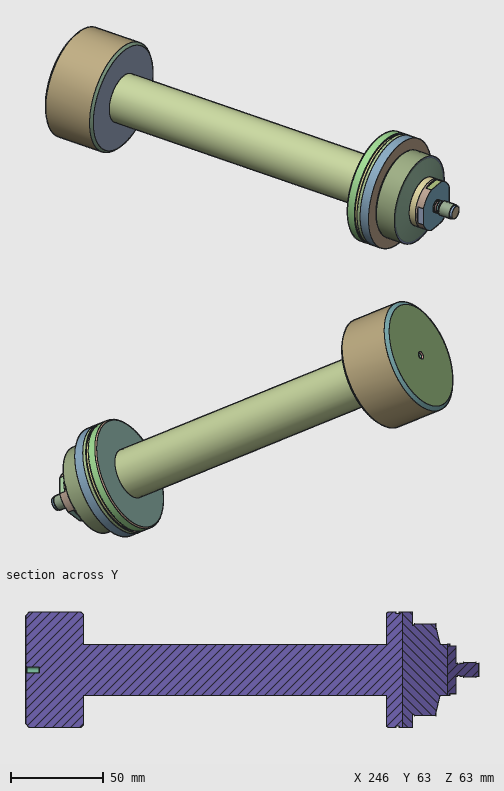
import cadquery as cq

LENGTH = 246.0

HEAD_DIAMETER = 63.0
HEAD_LENGTH = 31.5
HEAD_FRONT_EDGE_LENGTH = 1.7
HEAD_FRONT_EDGE_DEPTH = 2.2
HEAD_BACK_EDGE = 1.5
TUBE_RADIUS = 14.0
FLANGE_RADIUS = HEAD_DIAMETER / 2
FLANGE_START = 195.8
FLANGE_EDGE = 0.7
GROOVE_START = 201.0
GROOVE_END = 202.7
GROOVE_RADIUS = 30.8
FLANGE_JOINT = 204.7

HOLE_DIAMETER = 3.0
HOLE_DEPTH = 7.5
COUNTERSINK_DIAMETER = 4.5
COUNTERSINK_ANGLE = 90.0

REAR_FLANGE_END = 210.0
KNOB_RADIUS = 25.0
KNOB_EDGE = 1.0
KNOB_END = 222.6
CONE_START_RADIUS = 24.0
CONE_END = 225.0
NECK_END = 229.0

COLLAR_RADIUS = TUBE_RADIUS
COLLAR_END = 233.7
FLATS_START = 230.3
FLATS_WIDTH = 26.0
PLUG_SHOULDER_RADIUS = 3.7
PLUG_SHOULDER_END = 234.5
PLUG_WAIST_RADIUS = 3.2
PLUG_WAIST_END = 235.7
PLUG_RING_END = 237.0
PLUG_GROOVE_RADIUS = 3.5
PLUG_GROOVE_END = 237.6
PLUG_BARREL_RADIUS = 4.2
PLUG_BARREL_END = 244.5


def cylinder(start, end, radius):
    """Round section along X."""
    return cq.Workplane("YZ", origin=(start, 0, 0)).circle(radius).extrude(end - start)


def frustum(start, end, start_radius, end_radius):
    """Tapered round section along X."""
    return (
        cq.Workplane("XY")
        .moveTo(start, 0)
        .lineTo(start, start_radius)
        .lineTo(end, end_radius)
        .lineTo(end, 0)
        .close()
        .revolve(360, (0, 0, 0), (1, 0, 0))
    )


def make_handle():
    head_radius = HEAD_DIAMETER / 2
    head = cylinder(HEAD_FRONT_EDGE_LENGTH, HEAD_LENGTH, head_radius)
    front = frustum(0, HEAD_FRONT_EDGE_LENGTH, head_radius - HEAD_FRONT_EDGE_DEPTH, head_radius)
    head = head.union(front)
    head = head.faces(">X").edges().chamfer(HEAD_BACK_EDGE)
    head = head.faces("<X").workplane().cskHole(
        HOLE_DIAMETER, COUNTERSINK_DIAMETER, COUNTERSINK_ANGLE, depth=HOLE_DEPTH
    )
    flange = cylinder(FLANGE_START, GROOVE_START, FLANGE_RADIUS)
    flange = flange.faces("<X").edges().chamfer(FLANGE_EDGE)
    tube = cylinder(HEAD_LENGTH, FLANGE_START, TUBE_RADIUS)
    groove_floor = cylinder(GROOVE_START, GROOVE_END, GROOVE_RADIUS)
    rim = cylinder(GROOVE_END, FLANGE_JOINT, FLANGE_RADIUS)
    return head.union(tube).union(flange).union(groove_floor).union(rim)


def make_cap():
    flange = cylinder(FLANGE_JOINT, REAR_FLANGE_END, FLANGE_RADIUS)
    knob = cylinder(REAR_FLANGE_END, KNOB_END, KNOB_RADIUS)
    knob = knob.faces("<X").edges().chamfer(KNOB_EDGE)
    return (
        flange.union(knob)
        .union(frustum(KNOB_END, CONE_END, CONE_START_RADIUS, TUBE_RADIUS))
        .union(cylinder(CONE_END, NECK_END, TUBE_RADIUS))
    )


def make_connector():
    square = (
        cq.Workplane("YZ", origin=(FLATS_START, 0, 0))
        .rect(FLATS_WIDTH, FLATS_WIDTH)
        .extrude(COLLAR_END - FLATS_START)
    )
    flats = cylinder(FLATS_START, COLLAR_END, COLLAR_RADIUS).intersect(square)
    connector = cylinder(NECK_END, FLATS_START, COLLAR_RADIUS).union(flats)
    plug_steps = [
        (PLUG_SHOULDER_END, PLUG_SHOULDER_RADIUS),
        (PLUG_WAIST_END, PLUG_WAIST_RADIUS),
        (PLUG_RING_END, PLUG_SHOULDER_RADIUS),
        (PLUG_GROOVE_END, PLUG_GROOVE_RADIUS),
        (PLUG_BARREL_END, PLUG_BARREL_RADIUS),
        (LENGTH, PLUG_SHOULDER_RADIUS),
    ]
    start = COLLAR_END
    for end, radius in plug_steps:
        connector = connector.union(cylinder(start, end, radius))
        start = end
    return connector


handle = make_handle()
cap = make_cap()
connector = make_connector()

result = cq.Compound.makeCompound([handle.val(), cap.val(), connector.val()])